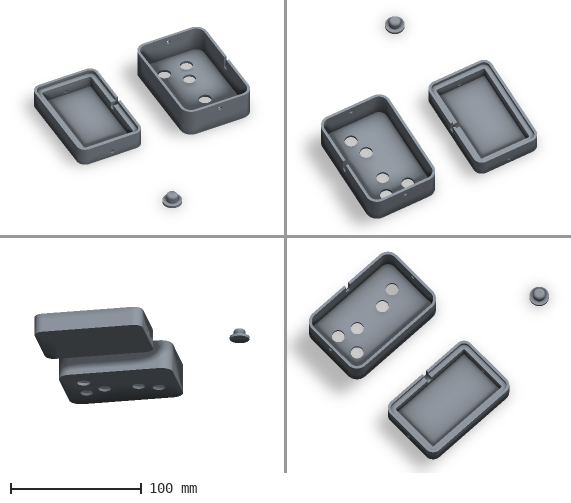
import cadquery as cq

overall_length = 160.2
overall_width = 145.9

double_wall = 4.3
wall = double_wall / 2
floor_thickness = 2.1
side_hole_diameter = 3.2
cable_slot_width = 4.2
cable_slot_corner_diameter = 3.7

box_length = 88.7
box_width = 58.8
box_height = 23.0
box_corner_radius = 9.3
box_side_hole_z = 17.8
box_slot_bottom_z = 12.3
button_hole_diameter = 10.0
button_hole_places = [
    (-28.2, 8.2),
    (-13.1, 3.0),
    (13.3, 3.0),
    (28.2, 8.2),
    (-26.7, -11.4),
]

lid_length = box_length - double_wall
lid_width = box_width - double_wall
lid_height = 15.0
lid_corner_radius = box_corner_radius - wall
lid_pocket_inset = 6.1
lid_rim_height = 3.0
lid_side_hole_z = 5.0
lid_slot_bottom_z = 6.9

flange_diameter = 15.0
flange_thickness = 2.1
stem_diameter = 9.0
button_height = 8.0
stem_fillet = 2.0

box_center_x = 3.8
box_center_y = overall_width - (lid_width + box_width) / 2
button_center_x = overall_length - (lid_length + flange_diameter) / 2
button_center_y = 16.3


def rounded_block(length, width, corner_radius, bottom_z, top_z):
    """Upright block with rounded vertical edges, centred on the Z axis."""
    return (
        cq.Workplane("XY")
        .workplane(offset=bottom_z)
        .rect(length, width)
        .extrude(top_z - bottom_z)
        .edges("|Z")
        .fillet(corner_radius)
    )


def inset_block(length, width, corner_radius, inset, bottom_z, top_z):
    """Rounded block whose sides lie a constant inset inside a larger outline."""
    return rounded_block(
        length - 2 * inset, width - 2 * inset, corner_radius - inset, bottom_z, top_z
    )


def side_hole_cutter(length, center_z):
    """Bar along X that pierces both end walls."""
    return (
        cq.Workplane("YZ")
        .center(0, center_z)
        .circle(side_hole_diameter / 2)
        .extrude(length / 2, both=True)
    )


def cable_slot_cutter(width, bottom_z, top_z):
    """Slot from the middle out through the back wall, with rounded lower corners."""
    return (
        cq.Workplane("XY")
        .box(cable_slot_width, width / 2, top_z - bottom_z, centered=(True, False, False))
        .edges("|Y and <Z")
        .fillet(cable_slot_corner_diameter / 2)
        .translate((0, 0, bottom_z))
    )


def make_box():
    cavity = inset_block(
        box_length, box_width, box_corner_radius, wall, floor_thickness, box_height
    )
    button_holes = (
        cq.Workplane("XY")
        .pushPoints(button_hole_places)
        .circle(button_hole_diameter / 2)
        .extrude(floor_thickness)
    )
    return (
        rounded_block(box_length, box_width, box_corner_radius, 0, box_height)
        .cut(cavity)
        .cut(button_holes)
        .cut(side_hole_cutter(box_length, box_side_hole_z))
        .cut(cable_slot_cutter(box_width, box_slot_bottom_z, box_height))
        .translate((box_center_x, box_center_y, 0))
    )


def make_lid():
    ledge_z = lid_height - lid_rim_height
    rim_recess = inset_block(
        lid_length, lid_width, lid_corner_radius, wall, ledge_z, lid_height
    )
    pocket = inset_block(
        lid_length, lid_width, lid_corner_radius, lid_pocket_inset, floor_thickness, ledge_z
    )
    return (
        rounded_block(lid_length, lid_width, lid_corner_radius, 0, lid_height)
        .cut(rim_recess)
        .cut(pocket)
        .cut(side_hole_cutter(lid_length, lid_side_hole_z))
        .cut(cable_slot_cutter(lid_width, lid_slot_bottom_z, lid_height))
    )


def make_button():
    flange = cq.Workplane("XY").circle(flange_diameter / 2).extrude(flange_thickness)
    stem = (
        cq.Workplane("XY")
        .circle(stem_diameter / 2)
        .extrude(button_height)
        .faces(">Z")
        .edges()
        .fillet(stem_fillet)
    )
    return flange.union(stem).translate((button_center_x, button_center_y, 0))


box = make_box()
lid = make_lid()
button = make_button()

result = cq.Compound.makeCompound([box.val(), lid.val(), button.val()])